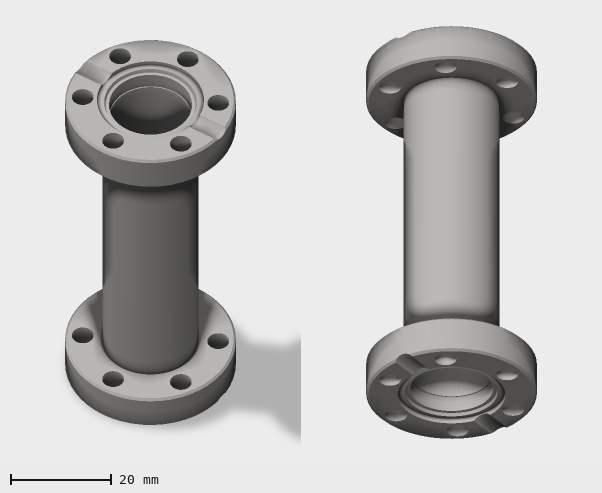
import cadquery as cq

total_length = 76.0
half_length = total_length / 2
flange_diameter = 34.0
flange_thickness = 7.7
rim_chamfer = 0.45

tube_outer_diameter = 19.0
tube_inner_diameter = 16.0
tube_end_depth = 4.6

bore_diameter = 16.5
recess_diameter = 21.3
recess_depth = 1.1
knife_diameter = 18.4
knife_depth = 0.7
knife_foot_diameter = 17.9
knife_foot_depth = 1.4

bolt_count = 6
bolt_hole_diameter = 4.3
bolt_circle_diameter = 27.0

groove_width = 3.95
groove_depth = 0.9
groove_radius = ((groove_width / 2) ** 2 + groove_depth ** 2) / (2 * groove_depth)

hub_diameter = 21.3
hub_back_depth = 5.8
ring_bore_diameter = 19.1
ring_bore_chamfer = 0.45
ring_counterbore_diameter = 21.4

face_z = half_length
back_z = half_length - flange_thickness


def cylinder(diameter, bottom_z, top_z):
    """Solid cylinder on the Z axis between two heights."""
    return cq.Workplane("XY").workplane(offset=bottom_z).circle(diameter / 2).extrude(top_z - bottom_z)


def flange_blank():
    """Plain disc with both rims chamfered."""
    return cylinder(flange_diameter, back_z, face_z).faces("<Z or >Z").edges().chamfer(rim_chamfer)


def bolt_holes():
    """Cutter for the bolt circle, with two holes on the Y axis."""
    return (
        cq.Workplane("XY").workplane(offset=back_z)
        .polarArray(bolt_circle_diameter / 2, 90, 360, bolt_count)
        .circle(bolt_hole_diameter / 2).extrude(flange_thickness)
    )


def leak_grooves():
    """Cutter for the round-bottomed groove along X, interrupted by the recess."""
    groove_axis_z = face_z - groove_depth + groove_radius
    groove = (
        cq.Workplane("YZ").center(0, groove_axis_z).circle(groove_radius)
        .extrude(flange_diameter / 2, both=True)
    )
    return groove.cut(cylinder(recess_diameter, back_z, groove_axis_z + groove_radius))


def bore_and_seal():
    """Cutter for the bore and the recess around the knife edge."""
    profile = [
        (0, face_z),
        (recess_diameter / 2, face_z),
        (recess_diameter / 2, face_z - recess_depth),
        (knife_diameter / 2, face_z - knife_depth),
        (knife_foot_diameter / 2, face_z - knife_foot_depth),
        (bore_diameter / 2, face_z - knife_foot_depth),
        (bore_diameter / 2, back_z),
        (0, back_z),
    ]
    return cq.Workplane("XZ").polyline(profile).close().revolve(360, (0, 0, 0), (0, 1, 0))


def tube_socket():
    """Cutter for the socket that holds the tube end."""
    return cylinder(tube_outer_diameter, back_z, face_z - tube_end_depth)


def facing_down(body):
    """Turn a body built for the top end over to the bottom end."""
    return body.rotate((0, 0, 0), (1, 0, 0), 180)


def make_tube():
    """Straight tube running from socket to socket."""
    end_z = half_length - tube_end_depth
    return cylinder(tube_outer_diameter, -end_z, end_z).cut(cylinder(tube_inner_diameter, -end_z, end_z))


def make_fixed_flange():
    """One-piece flange at the top end."""
    flange = flange_blank().cut(bolt_holes()).cut(leak_grooves())
    return flange.cut(bore_and_seal()).cut(tube_socket())


def make_rotatable_ring():
    """Bolt ring of the bottom flange, chamfered at its bore and counterbored for the hub."""
    ring = flange_blank().cut(bolt_holes()).cut(leak_grooves())
    ring = ring.cut(cylinder(ring_bore_diameter, back_z, face_z))
    ring = ring.cut(cylinder(ring_counterbore_diameter, face_z - hub_back_depth, face_z))
    chamfer_mouth_diameter = ring_bore_diameter + 2 * ring_bore_chamfer
    bore_chamfer = (
        cq.Workplane("XY").workplane(offset=back_z).circle(chamfer_mouth_diameter / 2)
        .workplane(offset=ring_bore_chamfer).circle(ring_bore_diameter / 2).loft()
    )
    return facing_down(ring.cut(bore_chamfer))


def make_hub():
    """Hub inside the bottom ring, carrying the knife edge and the tube socket."""
    hub = cylinder(hub_diameter, face_z - hub_back_depth, face_z)
    return facing_down(hub.cut(bore_and_seal()).cut(tube_socket()))


tube = make_tube()
fixed_flange = make_fixed_flange()
rotatable_ring = make_rotatable_ring()
hub = make_hub()

result = cq.Compound.makeCompound([tube.val(), fixed_flange.val(), rotatable_ring.val(), hub.val()])